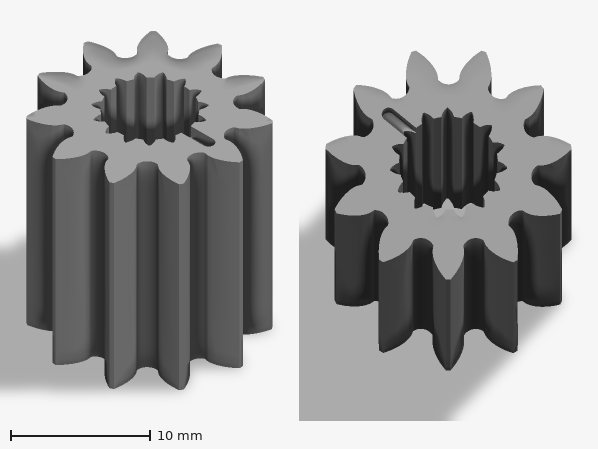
import cadquery as cq
import math

LENGTH = 19.0

TOOTH_COUNT = 11
PITCH_RADIUS = 7.0
PRESSURE_ANGLE = math.radians(14.5)
BASE_RADIUS = PITCH_RADIUS * math.cos(PRESSURE_ANGLE)
TIP_RADIUS = 8.91
ROOT_RADIUS = 6.02
FOOT_RADIUS = 6.42
PITCH_HALF_ANGLE = math.radians(9.3)
FLANK_POINTS = 6

GROOVE_COUNT = 15
BORE_RADIUS = 3.55
GROOVE_MOUTH_HALF_WIDTH = 0.45
GROOVE_MIDDLE_RADIUS = 3.88
GROOVE_MIDDLE_HALF_WIDTH = 0.32
GROOVE_SHOULDER_RADIUS = 4.18
GROOVE_SHOULDER_HALF_WIDTH = 0.1
GROOVE_BOTTOM_RADIUS = 4.24

SLOT_WIDTH = 1.0
SLOT_END = 6.2
SLOT_DEPTH = 1.0


def polar(radius, angle):
    return (radius * math.cos(angle), radius * math.sin(angle))


def involute(angle):
    return math.tan(angle) - angle


def tooth_half_angle(radius):
    """Half the angle spanned by a tooth at the given radius."""
    local_pressure_angle = math.acos(BASE_RADIUS / radius)
    return PITCH_HALF_ANGLE + involute(PRESSURE_ANGLE) - involute(local_pressure_angle)


def make_gear_blank():
    """Teeth with involute flanks, with radial feet and round roots; one tooth points along +X."""
    tooth_step = 2 * math.pi / TOOTH_COUNT
    radius_step = (TIP_RADIUS - BASE_RADIUS) / (FLANK_POINTS - 1)
    flank_radii = [BASE_RADIUS + i * radius_step for i in range(FLANK_POINTS)]
    base_half_angle = tooth_half_angle(BASE_RADIUS)

    outline = cq.Workplane("XY").moveTo(*polar(FOOT_RADIUS, -base_half_angle))
    for tooth in range(TOOTH_COUNT):
        center = tooth * tooth_step
        rising = [polar(r, center - tooth_half_angle(r)) for r in flank_radii]
        falling = [polar(r, center + tooth_half_angle(r)) for r in reversed(flank_radii)]
        root = polar(ROOT_RADIUS, center + tooth_step / 2)
        foot = polar(FOOT_RADIUS, center + base_half_angle)
        next_foot = polar(FOOT_RADIUS, center + tooth_step - base_half_angle)
        outline = (
            outline.lineTo(*rising[0])
            .spline(rising[1:], includeCurrent=True)
            .threePointArc(polar(TIP_RADIUS, center), falling[0])
            .spline(falling[1:], includeCurrent=True)
            .lineTo(*foot)
            .threePointArc(root, next_foot)
        )
    return outline.close().extrude(LENGTH)


def make_groove():
    """Rounded V groove on the +X side of the bore."""
    mouth_x = math.sqrt(BORE_RADIUS**2 - GROOVE_MOUTH_HALF_WIDTH**2)
    return (
        cq.Workplane("XY")
        .moveTo(0, 0)
        .lineTo(mouth_x, -GROOVE_MOUTH_HALF_WIDTH)
        .threePointArc(
            (GROOVE_MIDDLE_RADIUS, -GROOVE_MIDDLE_HALF_WIDTH),
            (GROOVE_SHOULDER_RADIUS, -GROOVE_SHOULDER_HALF_WIDTH),
        )
        .threePointArc(
            (GROOVE_BOTTOM_RADIUS, 0),
            (GROOVE_SHOULDER_RADIUS, GROOVE_SHOULDER_HALF_WIDTH),
        )
        .threePointArc(
            (GROOVE_MIDDLE_RADIUS, GROOVE_MIDDLE_HALF_WIDTH),
            (mouth_x, GROOVE_MOUTH_HALF_WIDTH),
        )
        .close()
        .extrude(LENGTH)
    )


def make_bore():
    """Round bore with evenly spaced grooves along its whole length."""
    bore = cq.Workplane("XY").circle(BORE_RADIUS).extrude(LENGTH)
    groove = make_groove()
    for i in range(GROOVE_COUNT):
        bore = bore.union(groove.rotate((0, 0, 0), (0, 0, 1), i * 360 / GROOVE_COUNT))
    return bore


def make_slot():
    """Slot starting at the bore axis, with a full round at its outer end."""
    half_width = SLOT_WIDTH / 2
    straight_end = SLOT_END - half_width
    return (
        cq.Workplane("XY", origin=(0, 0, LENGTH - SLOT_DEPTH))
        .moveTo(0, -half_width)
        .lineTo(straight_end, -half_width)
        .threePointArc((SLOT_END, 0), (straight_end, half_width))
        .lineTo(0, half_width)
        .close()
        .extrude(SLOT_DEPTH)
    )


result = make_gear_blank().cut(make_bore()).cut(make_slot())